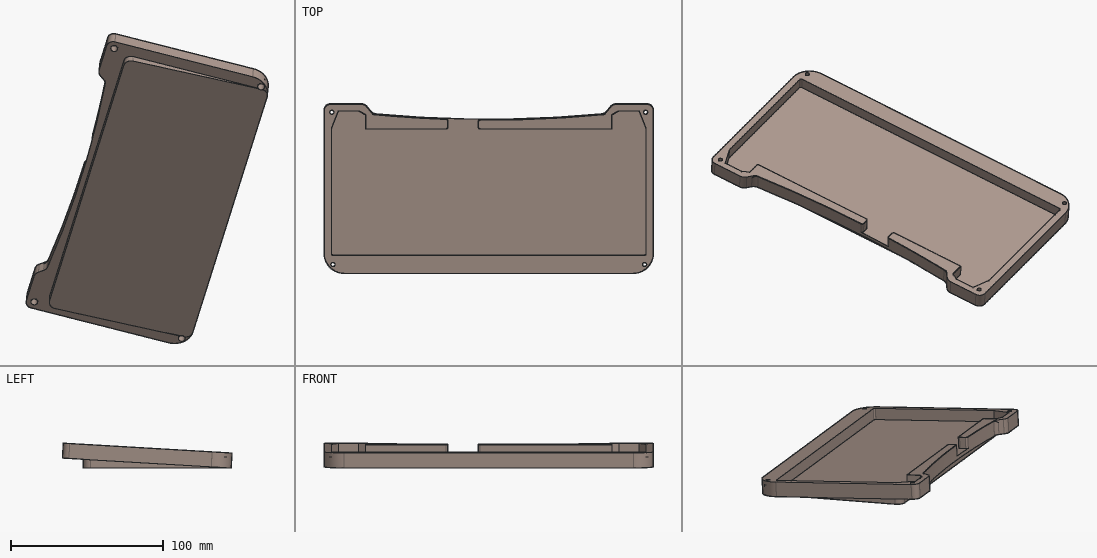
import cadquery as cq
import math

EDGE_MARGIN = 0.2

WIDTH = 215.7
HEIGHT = 16.5

TRAY_LENGTH = 110.9
TRAY_THICKNESS = 10.0
FRONT_CORNER_RADIUS = 13.2
BACK_CORNER_RADIUS = 4.3
TILT = math.degrees(
    math.asin(HEIGHT / math.hypot(TRAY_LENGTH, TRAY_THICKNESS))
    - math.atan2(TRAY_THICKNESS, TRAY_LENGTH)
)

SHOULDER_TOP_X = 81.1
SHOULDER_FOOT_X = 76.0
SHOULDER_DROP = 6.5
RECESS_DROP = 10.1
SHOULDER_RADIUS = 5.2

POCKET_DEPTH = 7.5
FRONT_RIM = 11.9
SIDE_RIM = 4.7
BACK_RIM = 4.3
POCKET_CORNER_RADIUS = 1.0
BACK_BEVEL_WIDTH = 4.7
EAR_INNER_X = 85.2
BAR_OUTER_X = 80.7
BAR_OUTER_DROP = 7.0
BAR_FRONT_DROP = 16.2

GAP_LEFT = -26.8
GAP_RIGHT = -7.0
GAP_CORNER_RADIUS = 1.3

BAR_TOP_CHAMFER = 0.2

HOLE_DIAMETER = 2.5
COUNTERBORE_DIAMETER = 4.5
HOLE_HEAD_THICKNESS = 3.0
HOLE_INSET = 5.2
FRONT_HOLE_INSET = 5.8

FOOT_LENGTH = 97.0
FOOT_INSET = 7.5
FOOT_CORNER_RADIUS = 5.0


def round_upright_edges(body, x_places, y, radius):
    """Fillet the vertical edges that stand at the given X places and Y position."""
    for x in x_places:
        beside_corner = cq.selectors.BoxSelector(
            (x - EDGE_MARGIN, y - EDGE_MARGIN, -EDGE_MARGIN),
            (x + EDGE_MARGIN, y + EDGE_MARGIN, TRAY_THICKNESS + EDGE_MARGIN),
        )
        body = body.edges("|Z").edges(beside_corner).fillet(radius)
    return body


def tray_plate():
    """Flat plate with rounded corners and a shallow arc recessed into its back edge."""
    side = WIDTH / 2
    foot_y = TRAY_LENGTH - SHOULDER_DROP
    plate = (
        cq.Workplane("XY")
        .moveTo(-side, 0)
        .lineTo(side, 0)
        .lineTo(side, TRAY_LENGTH)
        .lineTo(SHOULDER_TOP_X, TRAY_LENGTH)
        .lineTo(SHOULDER_FOOT_X, foot_y)
        .threePointArc((0, TRAY_LENGTH - RECESS_DROP), (-SHOULDER_FOOT_X, foot_y))
        .lineTo(-SHOULDER_TOP_X, TRAY_LENGTH)
        .lineTo(-side, TRAY_LENGTH)
        .close()
        .extrude(TRAY_THICKNESS)
    )

    plate = round_upright_edges(plate, [-side, side], 0, FRONT_CORNER_RADIUS)
    plate = round_upright_edges(plate, [-side, side], TRAY_LENGTH, BACK_CORNER_RADIUS)
    shoulders = [-SHOULDER_TOP_X, SHOULDER_TOP_X]
    return round_upright_edges(plate, shoulders, TRAY_LENGTH, SHOULDER_RADIUS)


def pocket():
    """Pocket volume that runs up into an ear on each side of the back bar."""
    side = WIDTH / 2 - SIDE_RIM
    bar_y = TRAY_LENGTH - BAR_FRONT_DROP
    right_half = [
        (side, FRONT_RIM),
        (side, bar_y),
        (side - BACK_BEVEL_WIDTH, TRAY_LENGTH - BACK_RIM),
        (EAR_INNER_X, TRAY_LENGTH - BACK_RIM),
        (BAR_OUTER_X, TRAY_LENGTH - BAR_OUTER_DROP),
        (BAR_OUTER_X, bar_y),
    ]
    left_half = [(-x, y) for x, y in reversed(right_half)]
    return (
        cq.Workplane("XY", origin=(0, 0, TRAY_THICKNESS - POCKET_DEPTH))
        .polyline(right_half + left_half)
        .close()
        .extrude(POCKET_DEPTH)
        .edges("|Z and <Y")
        .fillet(POCKET_CORNER_RADIUS)
    )


def gap():
    """Slot through the back bar, down to the pocket floor."""
    front_y = TRAY_LENGTH - BAR_FRONT_DROP
    return (
        cq.Workplane("XY", origin=(0, 0, TRAY_THICKNESS - POCKET_DEPTH))
        .moveTo((GAP_LEFT + GAP_RIGHT) / 2, front_y + BAR_FRONT_DROP / 2)
        .rect(GAP_RIGHT - GAP_LEFT, BAR_FRONT_DROP)
        .extrude(POCKET_DEPTH)
    )


def screw_holes():
    """Four through holes with counterbores that leave a thin head at the upper face."""
    back_x = WIDTH / 2 - HOLE_INSET
    front_x = WIDTH / 2 - FRONT_HOLE_INSET
    back_y = TRAY_LENGTH - HOLE_INSET
    centers = [
        (-back_x, back_y),
        (back_x, back_y),
        (-front_x, FRONT_HOLE_INSET),
        (front_x, FRONT_HOLE_INSET),
    ]
    start = cq.Workplane("XY", origin=(0, 0, -HEIGHT)).pushPoints(centers)
    holes = start.circle(HOLE_DIAMETER / 2).extrude(HEIGHT + TRAY_THICKNESS)
    counterbore_length = HEIGHT + TRAY_THICKNESS - HOLE_HEAD_THICKNESS
    counterbores = start.circle(COUNTERBORE_DIAMETER / 2).extrude(counterbore_length)
    return holes.union(counterbores)


def tilted(flat):
    """Swing a flat-built body up about the tray's front lower edge."""
    return flat.rotate((0, 0, 0), (1, 0, 0), TILT)


def foot():
    """Upright block on the ground, cut off where it meets the tilted tray."""
    width = WIDTH - 2 * FOOT_INSET
    block = (
        cq.Workplane("XY")
        .rect(width, FOOT_LENGTH)
        .extrude(HEIGHT)
        .translate((0, FOOT_LENGTH / 2, 0))
        .edges("|Z")
        .fillet(FOOT_CORNER_RADIUS)
    )
    overlap = (TRAY_THICKNESS - POCKET_DEPTH) / 2
    below_tray = (
        cq.Workplane("XY")
        .box(2 * WIDTH, 2 * WIDTH, WIDTH)
        .translate((0, 0, overlap - WIDTH / 2))
    )
    return block.intersect(tilted(below_tray))


def finished_tray():
    """Tray with rounded gap corners, chamfered bar tops and rounded shoulder feet."""
    tray = tray_plate().cut(pocket()).cut(gap())
    front_y = TRAY_LENGTH - BAR_FRONT_DROP
    foot_y = TRAY_LENGTH - SHOULDER_DROP
    gap_corners = cq.selectors.BoxSelector(
        (GAP_LEFT - EDGE_MARGIN, front_y - EDGE_MARGIN, TRAY_THICKNESS - POCKET_DEPTH),
        (GAP_RIGHT + EDGE_MARGIN, TRAY_LENGTH, TRAY_THICKNESS),
    )
    tray = tray.edges("|Z").edges(gap_corners).fillet(GAP_CORNER_RADIUS)
    bar_tops = cq.selectors.BoxSelector(
        (-BAR_OUTER_X - EDGE_MARGIN, front_y - EDGE_MARGIN, TRAY_THICKNESS - EDGE_MARGIN),
        (BAR_OUTER_X + EDGE_MARGIN, foot_y + EDGE_MARGIN, TRAY_THICKNESS + EDGE_MARGIN),
    )
    tray = tray.faces(">Z").edges(bar_tops).chamfer(BAR_TOP_CHAMFER)
    feet = [-SHOULDER_FOOT_X, SHOULDER_FOOT_X]
    return round_upright_edges(tray, feet, foot_y, SHOULDER_RADIUS)


result = tilted(finished_tray()).union(foot()).cut(tilted(screw_holes()))